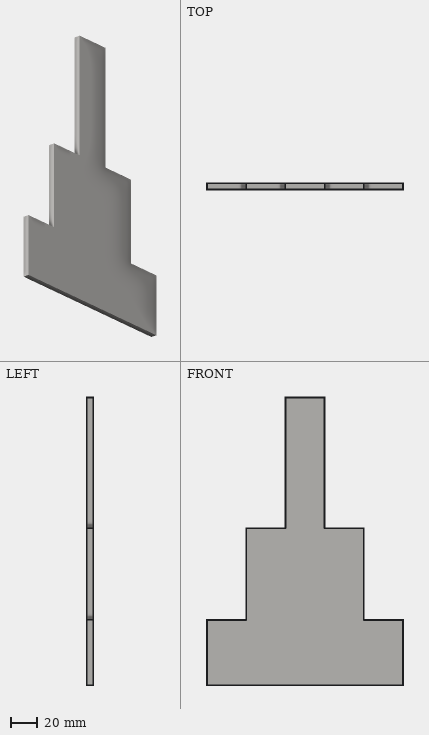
import cadquery as cq

thickness = 5.0
base_width = 150.0
base_height = 50.0
middle_height = 70.0
stem_height = 100.0
step_width = 30.0

middle_width = base_width - 2 * step_width
stem_width = middle_width - 2 * step_width


def tier(width, height, bottom):
    """Rectangular tier centred on X and Y, with its lower face at Z = bottom."""
    block = cq.Workplane("XY").box(width, thickness, height, centered=(True, True, False))
    return block.translate((0, 0, bottom))


base = tier(base_width, base_height, 0)
middle = tier(middle_width, middle_height, base_height)
stem = tier(stem_width, stem_height, base_height + middle_height)

result = base.union(middle).union(stem).clean()